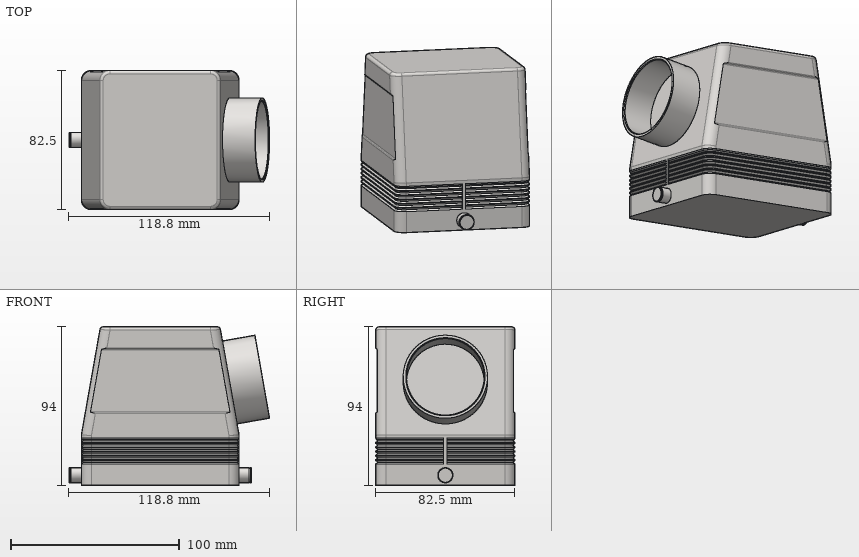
import math

import cadquery as cq

BODY_LENGTH = 93.5
BODY_WIDTH = 82.5
BODY_HEIGHT = 94.0
TAPER_START = 30.0
TAPER_ANGLE = math.radians(10)
CORNER_RADIUS = 6.0
TOP_RADIUS = 2.0

GROOVE_COUNT = 6
GROOVE_PITCH = 2.54
GROOVE_BASE = 12.7
GROOVE_OPENING = 2.1
GROOVE_ROOT_HEIGHT = 0.95
GROOVE_DEPTH = 1.15
STRIP_WIDTH = 2.0

LIP_TOP = 27.95
LIP_DEPTH = 0.35

RECESS_BOTTOM = 42.5
RECESS_TOP = 81.5
RECESS_DEPTH = 0.8
RECESS_FLANK = 1.3

NECK_DIAMETER = 50.0
NECK_BORE = 46.0
NECK_MOUTH_CHAMFER = 0.5
NECK_END_X = 60.49
NECK_END_Z = 64.4

PIN_DIAMETER = 9.0
PIN_HEIGHT = 6.0
PIN_SPAN = 108.0
PIN_END_CHAMFER = 0.3
PIN_NOTCH_SETBACK = 1.25
PIN_NOTCH_RIM = 0.5
PIN_NOTCH_DEPTH = 0.3

half_length = BODY_LENGTH / 2
half_width = BODY_WIDTH / 2
taper_inset = (BODY_HEIGHT - TAPER_START) * math.tan(TAPER_ANGLE)
top_half_length = half_length - taper_inset


def make_body():
    """Block with straight lower walls, end walls leaning inward above, and rounded edges."""
    outline = [
        (-half_length, 0),
        (half_length, 0),
        (half_length, TAPER_START),
        (top_half_length, BODY_HEIGHT),
        (-top_half_length, BODY_HEIGHT),
        (-half_length, TAPER_START),
    ]
    body = cq.Workplane("XZ").polyline(outline).close().extrude(half_width, both=True)
    corner_edges = body.faces("<Y or >Y").edges("not(#Z)")
    body = body.newObject(corner_edges.vals()).fillet(CORNER_RADIUS)
    return body.faces(">Z").edges().fillet(TOP_RADIUS)


def rounded_layer(z, inset):
    """Wire of the body's lower outline, moved inward by inset, at height z."""
    layer = cq.Workplane("XY", origin=(0, 0, z)).rect(BODY_LENGTH - 2 * inset, BODY_WIDTH - 2 * inset)
    block = layer.extrude(GROOVE_PITCH).edges("|Z").fillet(CORNER_RADIUS - inset)
    return block.faces("<Z").wires().val()


def make_ring_cutter(levels):
    """Ring outside the body core; levels are rising (height, inset) pairs of its inner section."""
    bottom = levels[0][0]
    height = levels[-1][0] - bottom
    cutter = cq.Workplane("XY", origin=(0, 0, bottom)).rect(2 * BODY_LENGTH, 2 * BODY_WIDTH).extrude(height)
    for lower, upper in zip(levels, levels[1:]):
        core = cq.Solid.makeLoft([rounded_layer(*lower), rounded_layer(*upper)], True)
        cutter = cutter.cut(cq.Workplane(core))
    return cutter


def cut_grooves(body):
    """Cut the grooves, leaving one upright strip in the middle of each end face."""
    for index in range(GROOVE_COUNT):
        base = GROOVE_BASE + index * GROOVE_PITCH
        root = base + GROOVE_ROOT_HEIGHT
        top = base + GROOVE_OPENING
        levels = [(base, 0), (root, GROOVE_DEPTH)]
        if index == GROOVE_COUNT - 1:
            lip_start = top - (top - root) * LIP_DEPTH / GROOVE_DEPTH
            levels += [(lip_start, LIP_DEPTH), (LIP_TOP, 0)]
        else:
            levels.append((top, 0))
        body = body.cut(make_ring_cutter(levels))
    strip = cq.Workplane("XY", origin=(0, 0, GROOVE_BASE)).rect(BODY_LENGTH, STRIP_WIDTH)
    return body.union(strip.extrude(LIP_TOP - GROOVE_BASE))


def make_recess(side):
    """Full-length cutter with S-shaped flanks for the face on the given Y side (-1 or 1)."""
    sweep = 2 * math.atan(RECESS_DEPTH / RECESS_FLANK)
    radius = RECESS_FLANK / (2 * math.sin(sweep))
    arc_depth = radius * (1 - math.cos(sweep / 2))
    arc_rise = radius * math.sin(sweep / 2)

    def from_bottom(depth, rise):
        return side * (half_width - depth), RECESS_BOTTOM + rise

    def from_top(depth, drop):
        return side * (half_width - depth), RECESS_TOP - drop

    middle = (RECESS_DEPTH / 2, RECESS_FLANK / 2)
    inner_arc = (RECESS_DEPTH - arc_depth, RECESS_FLANK - arc_rise)
    section = (
        cq.Workplane("YZ")
        .moveTo(*from_bottom(0, 0))
        .threePointArc(from_bottom(arc_depth, arc_rise), from_bottom(*middle))
        .threePointArc(from_bottom(*inner_arc), from_bottom(RECESS_DEPTH, RECESS_FLANK))
        .lineTo(*from_top(RECESS_DEPTH, RECESS_FLANK))
        .threePointArc(from_top(*inner_arc), from_top(*middle))
        .threePointArc(from_top(arc_depth, arc_rise), from_top(0, 0))
        .close()
    )
    return section.extrude(half_length, both=True)


def add_neck(body):
    """Add the tilted tube, bored from its mouth down to the sloping wall."""
    axis = cq.Vector(math.cos(TAPER_ANGLE), 0, math.sin(TAPER_ANGLE))
    mouth = cq.Vector(NECK_END_X, 0, NECK_END_Z)
    wall_point = cq.Vector(half_length, 0, TAPER_START)
    neck_length = (mouth - wall_point).dot(axis)
    root = mouth - axis * neck_length
    neck_plane = cq.Plane(origin=root.toTuple(), xDir=(0, 1, 0), normal=axis.toTuple())
    neck = cq.Workplane(neck_plane).circle(NECK_DIAMETER / 2).circle(NECK_BORE / 2).extrude(neck_length)
    mouth_edge = cq.selectors.RadiusNthSelector(0)
    neck = neck.faces(cq.selectors.DirectionMinMaxSelector(axis)).edges(mouth_edge)
    return body.union(neck.chamfer(NECK_MOUTH_CHAMFER))


def make_pin(side):
    """Pin for the end face on the given X side (-1 or 1), with a notch flaring toward its tip."""
    radius = PIN_DIAMETER / 2
    tip = PIN_SPAN / 2
    notch_x = tip - PIN_NOTCH_SETBACK
    profile = [
        (0, 0),
        (0, radius),
        (notch_x, radius),
        (notch_x, radius - PIN_NOTCH_DEPTH),
        (tip - PIN_NOTCH_RIM, radius),
        (tip - PIN_END_CHAMFER, radius),
        (tip, radius - PIN_END_CHAMFER),
        (tip, 0),
    ]
    placed = [(side * x, r) for x, r in profile]
    pin = cq.Workplane("XZ").polyline(placed).close().revolve(360, (0, 0), (1, 0))
    return pin.translate((0, 0, PIN_HEIGHT))


result = cut_grooves(make_body())
for side in (-1, 1):
    result = result.cut(make_recess(side)).union(make_pin(side))
result = add_neck(result)